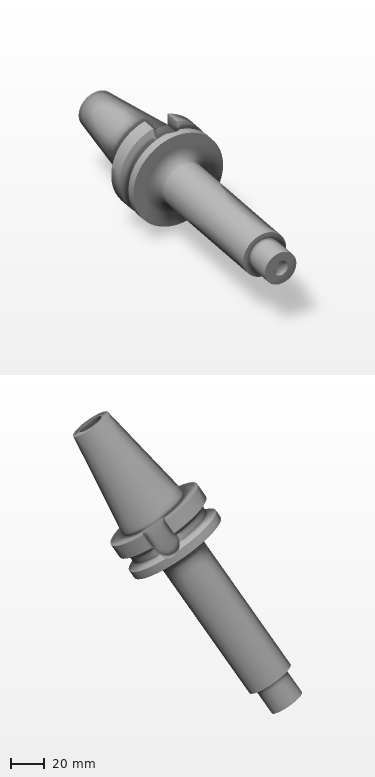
import cadquery as cq

total_length = 208.7

taper_length = 65.4
gauge_diameter = 44.45
taper_ratio = 7 / 24
taper_small_diameter = gauge_diameter - taper_length * taper_ratio
flange_gap = 2.0
neck_depth = 0.5
land_length = 1.0
neck_start = taper_length + land_length

flange_diameter = 63.0
flange_end_offset = 27.0
flange_start = taper_length + flange_gap
flange_end = taper_length + flange_end_offset
groove_offset = 16.6
groove_centre = taper_length + groove_offset
groove_floor_diameter = 53.0
groove_floor_width = 4.8
groove_side_run = 2.6

shank_diameter = 30.0
shank_fillet_radius = 7.0
pilot_diameter = 22.0
pilot_length = 18.0
pilot_start = total_length - pilot_length

draw_bar_bore_diameter = 16.0
draw_bar_bore_depth = taper_length
through_bore_diameter = 10.0

slot_width = 16.1
slot_floor_height = 22.5
slot_end = 88.5


def turned_body():
    """Solid of revolution for the taper, flange, shank and pilot."""
    gauge_radius = gauge_diameter / 2
    neck_radius = gauge_radius - neck_depth
    flange_radius = flange_diameter / 2
    groove_floor_radius = groove_floor_diameter / 2
    half_floor = groove_floor_width / 2
    half_mouth = half_floor + groove_side_run
    shank_radius = shank_diameter / 2
    pilot_radius = pilot_diameter / 2
    profile = (
        cq.Workplane("XY")
        .moveTo(0, 0)
        .lineTo(0, taper_small_diameter / 2)
        .lineTo(taper_length, gauge_radius)
        .lineTo(neck_start, gauge_radius)
        .lineTo(neck_start, neck_radius)
        .lineTo(flange_start, neck_radius)
        .lineTo(flange_start, flange_radius)
        .lineTo(groove_centre - half_mouth, flange_radius)
        .lineTo(groove_centre - half_floor, groove_floor_radius)
        .lineTo(groove_centre + half_floor, groove_floor_radius)
        .lineTo(groove_centre + half_mouth, flange_radius)
        .lineTo(flange_end, flange_radius)
        .lineTo(flange_end, shank_radius + shank_fillet_radius)
        .radiusArc((flange_end + shank_fillet_radius, shank_radius), -shank_fillet_radius)
        .lineTo(pilot_start, shank_radius)
        .lineTo(pilot_start, pilot_radius)
        .lineTo(total_length, pilot_radius)
        .lineTo(total_length, 0)
        .close()
    )
    return profile.revolve(360, (0, 0, 0), (1, 0, 0))


def axial_bore(diameter, depth):
    """Round bore along X from the small end of the taper."""
    return cq.Workplane("YZ").circle(diameter / 2).extrude(depth)


def drive_slot(side):
    """Flat-floored, round-ended slot; side is +1 for the top and -1 for the bottom."""
    half_width = slot_width / 2
    arc_start = slot_end - half_width
    return (
        cq.Workplane("XY", origin=(0, 0, side * slot_floor_height))
        .moveTo(flange_start, -half_width)
        .lineTo(arc_start, -half_width)
        .threePointArc((slot_end, 0), (arc_start, half_width))
        .lineTo(flange_start, half_width)
        .close()
        .extrude(side * flange_diameter / 2)
    )


result = turned_body()
result = result.cut(axial_bore(through_bore_diameter, total_length))
result = result.cut(axial_bore(draw_bar_bore_diameter, draw_bar_bore_depth))
for slot_side in (1, -1):
    result = result.cut(drive_slot(slot_side))